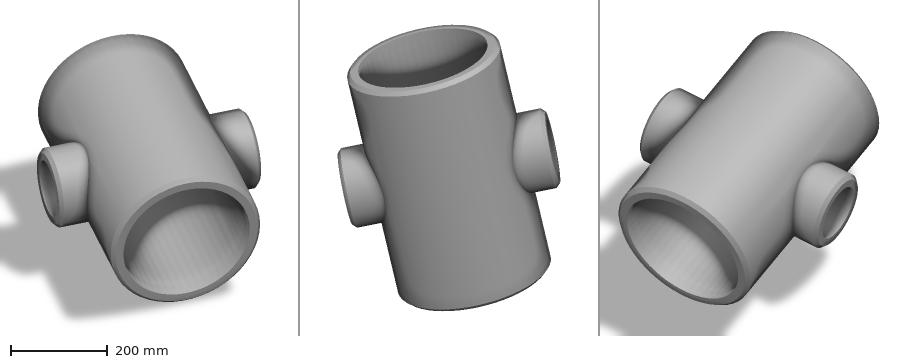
import cadquery as cq

run_length = 508.0
run_diameter = 324.0
run_bore = 274.0

branch_span = 438.0
branch_diameter = 168.0
branch_bore = 118.5

end_bevel = 8.0


def bevelled_bar(plane, diameter, length):
    """Solid round bar centred on the origin, bevelled at both ends."""
    bar = cq.Workplane(plane).circle(diameter / 2).extrude(length / 2, both=True)
    return bar.edges("%CIRCLE").chamfer(end_bevel)


def through_bore(plane, diameter, length):
    """Round cutter centred on the origin, spanning the full length."""
    return cq.Workplane(plane).circle(diameter / 2).extrude(length / 2, both=True)


run = bevelled_bar("YZ", run_diameter, run_length)
branches = bevelled_bar("XZ", branch_diameter, branch_span)

result = (
    run.union(branches)
    .cut(through_bore("YZ", run_bore, run_length))
    .cut(through_bore("XZ", branch_bore, branch_span))
)